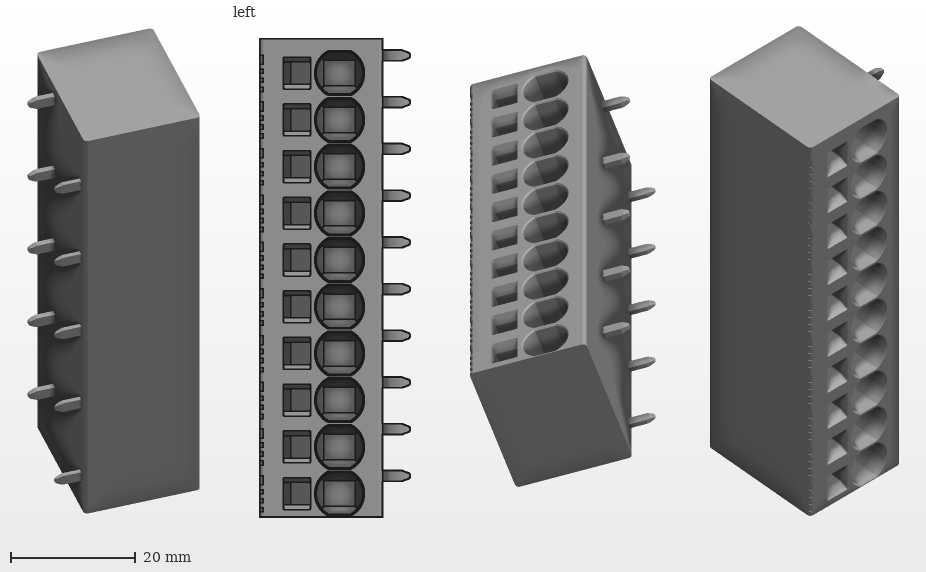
import cadquery as cq
import math

housing_x = 24.1
housing_y = 19.7
length = 76.8
edge_radius = 0.7

pole_count = 10
first_pole_z = 3.8
pole_span = 67.5
pitch = pole_span / (pole_count - 1)

funnel_y = 6.9
mouth_diameter = 8.0
mouth_height = 7.15
rim_chamfer = 0.2
bore_depth = 5.4
throat_size_y = 5.0
throat_size_z = 4.1
throat_taper = 30.0

window_y = 13.75
window_size_y = 4.4
window_size_z = 5.15
slot_size_z = 3.6
bevel_depth = 1.5
slope_start = 3.1
slope_depth = 4.6
slope_rise = 1.15
window_corner_radius = 0.2

flat_leg = 0.575
edge_flats = [(2.15, 1.45), (0.3, 0.7), (-1.15, 0.7), (-2.6, 0.7)]

pin_length = 4.45
pin_root = 0.8
pin_z_offset = 2.85
pin_width = 1.8
near_pin_x = 9.0
near_pin_thickness = 1.0
far_pin_x = 22.2
far_pin_thickness = 0.8
tip_bevel_start = 3.1
tip_nose_start = 4.0
tip_nose_width = 1.1
tip_thinning_start = 3.45
tip_thinning = 0.2


def inward_plane(y, depth=0.0):
    """Plane parallel to the wire face, local axes along Y and Z, normal pointing inward."""
    return cq.Workplane(cq.Plane(origin=(depth, y, 0), xDir=(0, 1, 0), normal=(1, 0, 0)))


def make_housing():
    block = cq.Workplane("XY").box(housing_x, housing_y, length, centered=False)
    return block.edges("|Z").fillet(edge_radius)


def make_funnel():
    inner_radius = mouth_diameter / 2 - rim_chamfer
    inner_height = mouth_height - 2 * rim_chamfer
    bore = inward_plane(funnel_y).circle(inner_radius).extrude(bore_depth)
    bore = bore.intersect(inward_plane(funnel_y).rect(mouth_diameter, inner_height).extrude(bore_depth))
    rim = inward_plane(funnel_y).circle(mouth_diameter / 2).extrude(rim_chamfer, taper=45)
    rim_limit = inward_plane(funnel_y).rect(mouth_diameter * 2, mouth_height).extrude(rim_chamfer, taper=45)
    rim = rim.intersect(rim_limit)

    slope = math.tan(math.radians(throat_taper))
    taper_depth = (2 * inner_radius - throat_size_z) / 2 / slope
    spread = 2 * taper_depth * slope
    throat = (
        inward_plane(funnel_y, bore_depth)
        .rect(throat_size_y + spread, throat_size_z + spread)
        .extrude(taper_depth, taper=throat_taper)
    )
    throat = throat.intersect(bore.translate((bore_depth, 0, 0)))
    return bore.union(rim).union(throat)


def make_window():
    bevel = (
        inward_plane(window_y)
        .rect(window_size_y, window_size_z)
        .workplane(offset=bevel_depth)
        .rect(window_size_y, slot_size_z)
        .loft(ruled=True)
        .edges("not(|Y or |Z)")
        .fillet(window_corner_radius)
    )
    low_y = window_y - window_size_y / 2
    high_y = window_y + window_size_y / 2
    end_x = slope_start + slope_depth
    slot = (
        cq.Workplane("XY", origin=(0, 0, -slot_size_z / 2))
        .moveTo(bevel_depth, low_y)
        .lineTo(end_x, low_y)
        .lineTo(end_x, high_y - slope_rise)
        .lineTo(slope_start, high_y)
        .lineTo(bevel_depth, high_y)
        .close()
        .extrude(slot_size_z)
        .edges("not(|Y or |Z)")
        .fillet(window_corner_radius)
    )
    return bevel.union(slot)


def make_edge_flat(z, size):
    return (
        cq.Workplane("XY", origin=(0, 0, z - size / 2))
        .moveTo(0, housing_y)
        .lineTo(flat_leg, housing_y)
        .lineTo(0, housing_y - flat_leg)
        .close()
        .extrude(size)
    )


def make_pin(x, thickness):
    half_width = pin_width / 2
    half_nose = tip_nose_width / 2
    blade = (
        cq.Workplane("YZ", origin=(x, 0, 0))
        .moveTo(pin_root, half_width)
        .lineTo(-tip_bevel_start, half_width)
        .lineTo(-tip_nose_start, half_nose)
        .threePointArc((-pin_length, 0), (-tip_nose_start, -half_nose))
        .lineTo(-tip_bevel_start, -half_width)
        .lineTo(pin_root, -half_width)
        .close()
        .extrude(thickness / 2, both=True)
    )
    half_thickness = thickness / 2
    half_tip = half_thickness - tip_thinning
    narrow_side = (
        cq.Workplane("XY", origin=(x, 0, 0))
        .moveTo(-half_thickness, pin_root)
        .lineTo(-half_thickness, -tip_thinning_start)
        .lineTo(-half_tip, -pin_length)
        .lineTo(half_tip, -pin_length)
        .lineTo(half_thickness, -tip_thinning_start)
        .lineTo(half_thickness, pin_root)
        .close()
        .extrude(pin_width, both=True)
    )
    return blade.intersect(narrow_side)


def make_pole_cutter():
    """Everything removed for one pole, with the pole centred on Z = 0."""
    cutter = make_funnel().union(make_window())
    for flat_offset, flat_size in edge_flats:
        cutter = cutter.union(make_edge_flat(flat_offset, flat_size))
    return cutter


result = make_housing()
pole_cutter = make_pole_cutter()
far_pin = make_pin(far_pin_x, far_pin_thickness)
near_pin = make_pin(near_pin_x, near_pin_thickness)

for pole in range(pole_count):
    pole_z = first_pole_z + pole * pitch
    result = result.cut(pole_cutter.translate((0, 0, pole_z)))

    pin = far_pin if pole % 2 == 0 else near_pin
    result = result.union(pin.translate((0, 0, pole_z + pin_z_offset)))